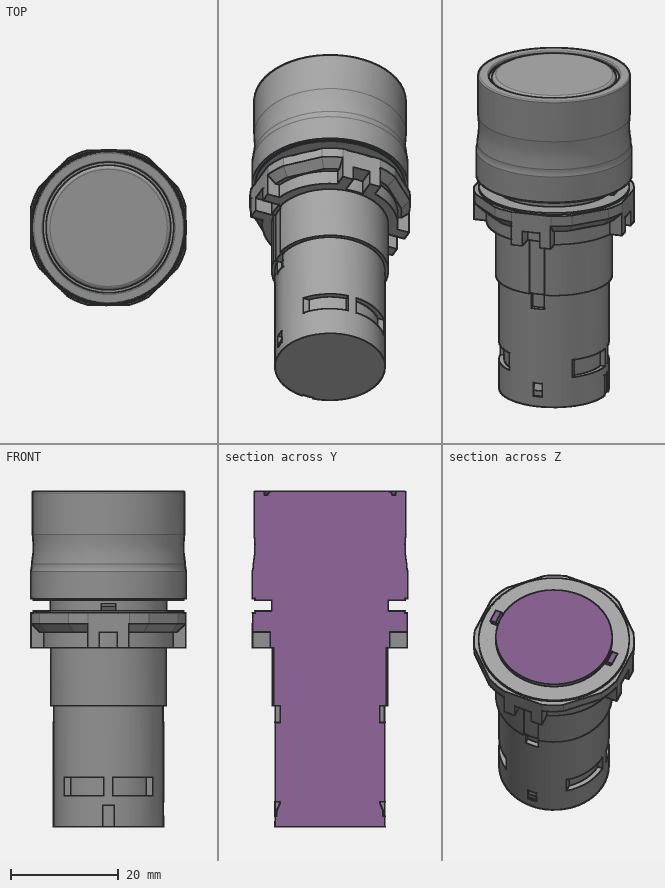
import cadquery as cq
import math

TOTAL_HEIGHT = 62.4
SLEEVE_BOTTOM = 22.5
NUT_BOTTOM = 33.3
NUT_BEVEL_BOTTOM = 36.2
NUT_BEVEL_TOP = 37.8
NUT_TOP = 39.8
WASHER_TOP = 40.15
HEAD_BOTTOM = 42.1
FLANGE_BOTTOM = 42.45
FLANGE_TOP = 47.55
WAIST_BOTTOM = 48.95
WAIST_TOP = 54.4

BARREL_RADIUS = 20.5 / 2
SLEEVE_RADIUS = 21.72 / 2
NUT_HUB_RADIUS = 12.6
WASHER_RADIUS = 28.0 / 2
FLANGE_RADIUS = 29.0 / 2
HEAD_RADIUS = 28.3 / 2
WAIST_RADIUS = 14.0
WAIST_BOTTOM_RADIUS = 14.3
RIM_FLAT_RADIUS = 27.8 / 2
FLARE_SAG = 0.12

LENS_RADIUS = 11.6
LENS_FLAT_RADIUS = 10.9
RIM_INNER_RADIUS = 12.15
RIM_INNER_ROUND = 0.25

NUT_FLATS = 8
LUG_COUNT = 4
NUT_APOTHEM = 14.4
NUT_CORNER_RADIUS = 14.9
LUG_WIDTH = 7.62
LUG_SLOT_WIDTH = 3.36
LUG_SLOT_FLOOR_RADIUS = 11.2
LUG_SLOT_TOP = NUT_BEVEL_BOTTOM

TAB_WIDTH = 2.65
TAB_THICKNESS = 1.0
TAB_LENGTH = 1.6
TAB_LEAN = 60
TAB_TIP_RADIUS = 12.5
TAB_TIP_HEIGHT = 41.0

RECESS_FLOOR_RADIUS = 9.3
SLEEVE_GROOVE_WIDTH = 2.96
SLEEVE_GROOVE_FLOOR_RADIUS = 10.5
BARREL_GROOVE_WIDTH = 2.6
BARREL_GROOVE_BOTTOM = 19.45
WINDOW_BOTTOM = 5.78
WINDOW_TOP = 9.25
WINDOW_INNER_X = 0.83
WINDOW_INNER_Y = 6.12
LATCH_WIDTH = 1.76
LATCH_BOTTOM = 2.0
LATCH_TOP = 4.63
LATCH_RAMP_BOTTOM = 3.05
LATCH_RAMP_TOP = 4.45
LATCH_FACE_RADIUS = 9.9

LABEL_WIDTH = 2.15
LABEL_TOP = 4.0
LABEL_DEPTH = 0.3

REACH = 20.0


def disc(radius, bottom, top):
    return cq.Workplane("XY").workplane(offset=bottom).circle(radius).extrude(top - bottom)


def block(x_range, y_range, z_range):
    """Axis-aligned box given by its limits along X, Y and Z."""
    (x0, x1), (y0, y1), (z0, z1) = x_range, y_range, z_range
    return cq.Workplane("XY").box(x1 - x0, y1 - y0, z1 - z0, centered=False).translate((x0, y0, z0))


def turned(solid, angle):
    """Solid turned about the Z axis by an angle in degrees."""
    return solid.rotate((0, 0, 0), (0, 0, 1), angle)


def make_head():
    """Revolved head: flange, concave waist, rounded rim, ring groove and lens."""
    rim_round = HEAD_RADIUS - RIM_FLAT_RADIUS
    lens_round = LENS_RADIUS - LENS_FLAT_RADIUS
    groove_floor = TOTAL_HEIGHT - lens_round
    diagonal = math.sqrt(0.5)
    waist_mid = (WAIST_RADIUS, (WAIST_BOTTOM + WAIST_TOP) / 2)
    flare_mid = (
        (FLANGE_RADIUS + WAIST_BOTTOM_RADIUS) / 2 - FLARE_SAG / 2,
        (FLANGE_TOP + WAIST_BOTTOM) / 2 - FLARE_SAG / 2,
    )
    rim_mid = (
        RIM_FLAT_RADIUS + rim_round * diagonal,
        TOTAL_HEIGHT - rim_round * (1 - diagonal),
    )
    rim_inner_mid = (
        RIM_INNER_RADIUS + RIM_INNER_ROUND * (1 - diagonal),
        TOTAL_HEIGHT - RIM_INNER_ROUND * (1 - diagonal),
    )
    lens_mid = (
        LENS_FLAT_RADIUS + lens_round * diagonal,
        TOTAL_HEIGHT - lens_round * (1 - diagonal),
    )
    profile = (
        cq.Workplane("XZ")
        .moveTo(0, HEAD_BOTTOM)
        .lineTo(WASHER_RADIUS, HEAD_BOTTOM)
        .lineTo(WASHER_RADIUS, FLANGE_BOTTOM)
        .lineTo(FLANGE_RADIUS, FLANGE_BOTTOM)
        .lineTo(FLANGE_RADIUS, FLANGE_TOP)
        .threePointArc(flare_mid, (WAIST_BOTTOM_RADIUS, WAIST_BOTTOM))
        .threePointArc(waist_mid, (HEAD_RADIUS, WAIST_TOP))
        .lineTo(HEAD_RADIUS, TOTAL_HEIGHT - rim_round)
        .threePointArc(rim_mid, (RIM_FLAT_RADIUS, TOTAL_HEIGHT))
        .lineTo(RIM_INNER_RADIUS + RIM_INNER_ROUND, TOTAL_HEIGHT)
        .threePointArc(rim_inner_mid, (RIM_INNER_RADIUS, TOTAL_HEIGHT - RIM_INNER_ROUND))
        .lineTo(RIM_INNER_RADIUS, groove_floor)
        .lineTo(LENS_RADIUS, groove_floor)
        .threePointArc(lens_mid, (LENS_FLAT_RADIUS, TOTAL_HEIGHT))
        .lineTo(0, TOTAL_HEIGHT)
        .close()
    )
    return profile.revolve(360, (0, 0), (0, 1))


def nut_plate(bottom, top):
    """Round plate with eight equal flats."""
    octagon_diameter = 2 * NUT_APOTHEM / math.cos(math.pi / NUT_FLATS)
    octagon = cq.Workplane("XY").workplane(offset=bottom).polygon(NUT_FLATS, octagon_diameter)
    octagon = octagon.extrude(top - bottom)
    return turned(octagon, 180 / NUT_FLATS).intersect(disc(NUT_CORNER_RADIUS, bottom, top))


def make_nut():
    """Eight-flat nut, bevelled underneath, with a hub and four slotted lugs."""
    bevel = NUT_BEVEL_TOP - NUT_BEVEL_BOTTOM
    nut = nut_plate(NUT_BEVEL_BOTTOM, NUT_TOP).faces("<Z").chamfer(bevel)
    nut = nut.union(disc(NUT_HUB_RADIUS, NUT_BOTTOM, NUT_BEVEL_BOTTOM))
    half_lug = LUG_WIDTH / 2
    half_slot = LUG_SLOT_WIDTH / 2
    lug = block((0, NUT_APOTHEM), (-half_lug, half_lug), (NUT_BOTTOM, NUT_TOP))
    slot = block((0, REACH), (-half_slot, half_slot), (NUT_BOTTOM, LUG_SLOT_TOP))
    slot = slot.cut(disc(LUG_SLOT_FLOOR_RADIUS, NUT_BOTTOM, LUG_SLOT_TOP))
    angles = [index * 360 / LUG_COUNT for index in range(LUG_COUNT)]
    for angle in angles:
        nut = nut.union(turned(lug, angle))
    for angle in angles:
        nut = nut.cut(turned(slot, angle))
    return nut


def make_tab():
    """Leaning spring tab on the +Y side; its foot sinks into the neck and washer."""
    lean = math.radians(TAB_LEAN)
    along = (math.cos(lean), math.sin(lean))
    tip_outer = (TAB_TIP_RADIUS, TAB_TIP_HEIGHT)
    tip_inner = (
        tip_outer[0] - TAB_THICKNESS * along[1],
        tip_outer[1] + TAB_THICKNESS * along[0],
    )
    foot = [(y - TAB_LENGTH * along[0], z - TAB_LENGTH * along[1]) for y, z in (tip_inner, tip_outer)]
    outline = [tip_outer, tip_inner] + foot
    return cq.Workplane("YZ").polyline(outline).close().extrude(TAB_WIDTH / 2, both=True)


def make_window_cutter():
    """Barrel window in the +X +Y quarter, with flat ends and a round floor."""
    cutter = block((WINDOW_INNER_X, REACH), (WINDOW_INNER_Y, REACH), (WINDOW_BOTTOM, WINDOW_TOP))
    return cutter.cut(disc(RECESS_FLOOR_RADIUS, WINDOW_BOTTOM, WINDOW_TOP))


def make_groove_cutter(width, floor_radius, bottom, top):
    """Upright groove on the +X side with a round floor."""
    cutter = block((0, REACH), (-width / 2, width / 2), (bottom, top))
    return cutter.cut(disc(floor_radius, bottom, top))


def make_latch_cutter():
    """Small recess on the +X side, whose floor ramps outward to a latch face."""
    profile = [
        (REACH, LATCH_BOTTOM),
        (LATCH_FACE_RADIUS, LATCH_BOTTOM),
        (LATCH_FACE_RADIUS, LATCH_RAMP_BOTTOM),
        (RECESS_FLOOR_RADIUS, LATCH_RAMP_TOP),
        (RECESS_FLOOR_RADIUS, LATCH_TOP),
        (REACH, LATCH_TOP),
    ]
    return cq.Workplane("XZ").polyline(profile).close().extrude(LATCH_WIDTH / 2, both=True)


def make_label_cutter():
    """Shallow label recess at the foot of the -Y side, with a round floor."""
    cutter = block((-LABEL_WIDTH / 2, LABEL_WIDTH / 2), (-REACH, 0), (0, LABEL_TOP))
    return cutter.cut(disc(BARREL_RADIUS - LABEL_DEPTH, 0, LABEL_TOP))


def make_body():
    """Barrel, sleeve and neck with their grooves, windows, latch and label recesses."""
    body = disc(BARREL_RADIUS, 0, SLEEVE_BOTTOM)
    body = body.union(disc(SLEEVE_RADIUS, SLEEVE_BOTTOM, HEAD_BOTTOM))
    window = make_window_cutter()
    cutters = [window, window.mirror("YZ")]
    cutters.append(make_latch_cutter())
    cutters.append(
        make_groove_cutter(BARREL_GROOVE_WIDTH, RECESS_FLOOR_RADIUS, BARREL_GROOVE_BOTTOM, SLEEVE_BOTTOM)
    )
    cutters.append(
        make_groove_cutter(SLEEVE_GROOVE_WIDTH, SLEEVE_GROOVE_FLOOR_RADIUS, SLEEVE_BOTTOM, NUT_BOTTOM)
    )
    for cutter in cutters:
        body = body.cut(cutter).cut(turned(cutter, 180))
    return body.cut(make_label_cutter())


result = make_nut().union(make_body())
result = result.union(disc(WASHER_RADIUS, NUT_TOP, WASHER_TOP))
tab = make_tab()
result = result.union(tab).union(turned(tab, 180))
result = result.union(make_head())